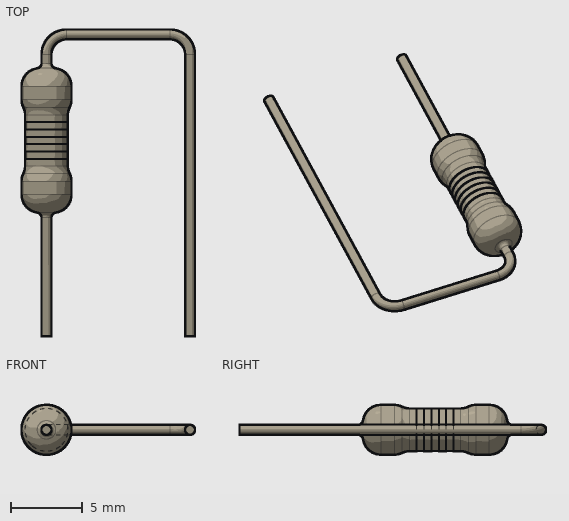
import cadquery as cq
import math

total_length = 21.35
wire_diameter = 0.7
lead_spacing = 10.0
bend_radius = 1.4

body_middle_y = 13.62
cap_diameter = 3.5
core_diameter = 2.99
band_diameter = 2.97
dome_radius = 1.28
neck_start = 1.77
cap_start = 2.85
dome_start = 3.75
fillet_end = 5.35

band_count = 3
band_width = 0.51
band_pitch = 2 * band_width

wire_radius = wire_diameter / 2
cap_radius = cap_diameter / 2
core_radius = core_diameter / 2


def point_on_circle(center, radius, angle):
    return (center[0] + radius * math.cos(angle), center[1] + radius * math.sin(angle))


def make_half_body():
    """Half of the body, revolved from its middle out to the wire."""
    neck_rise = cap_radius - core_radius
    neck_length = cap_start - neck_start
    neck_radius = (neck_length**2 + neck_rise**2) / (4 * neck_rise)
    half_sweep = math.asin(neck_length / (2 * neck_radius)) / 2
    flare_center = (core_radius + neck_radius, neck_start)
    shoulder_center = (cap_radius - neck_radius, cap_start)
    flare_middle = point_on_circle(flare_center, neck_radius, math.pi - half_sweep)
    neck_middle = (core_radius + neck_rise / 2, neck_start + neck_length / 2)
    shoulder_middle = point_on_circle(shoulder_center, neck_radius, -half_sweep)

    dome_center = (cap_radius - dome_radius, dome_start)
    axial_gap = fillet_end - dome_start
    radial_gap = dome_center[0] - wire_radius
    fillet_radius = (axial_gap**2 + radial_gap**2 - dome_radius**2) / (2 * (dome_radius + radial_gap))
    fillet_center = (wire_radius + fillet_radius, fillet_end)
    dome_angle = math.atan2(axial_gap, fillet_center[0] - dome_center[0])
    dome_middle = point_on_circle(dome_center, dome_radius, dome_angle / 2)
    dome_end = point_on_circle(dome_center, dome_radius, dome_angle)
    fillet_middle = point_on_circle(fillet_center, fillet_radius, math.pi + dome_angle / 2)

    return (
        cq.Workplane("XY")
        .lineTo(core_radius, 0)
        .lineTo(core_radius, neck_start)
        .threePointArc(flare_middle, neck_middle)
        .threePointArc(shoulder_middle, (cap_radius, cap_start))
        .lineTo(cap_radius, dome_start)
        .threePointArc(dome_middle, dome_end)
        .threePointArc(fillet_middle, (wire_radius, fillet_end))
        .lineTo(0, fillet_end)
        .close()
        .revolve(360, (0, 0, 0), (0, 1, 0))
    )


def make_band_groove(middle_y):
    return (
        cq.Workplane("XZ", origin=(0, middle_y - band_width / 2, 0))
        .circle(cap_radius)
        .circle(band_diameter / 2)
        .extrude(-band_width)
    )


def make_body():
    half = make_half_body()
    body = half.union(half.mirror("XZ"))
    for index in range(band_count):
        body = body.cut(make_band_groove((index - (band_count - 1) / 2) * band_pitch))
    return body.translate((0, body_middle_y, 0))


def make_wire():
    """Wire through the body, bent back beside it; both ends lie at Y = 0."""
    top_y = total_length - wire_radius
    bend_y = top_y - bend_radius
    corner_offset = bend_radius * (1 - math.sqrt(0.5))
    path = (
        cq.Workplane("XY")
        .lineTo(0, bend_y)
        .threePointArc((corner_offset, top_y - corner_offset), (bend_radius, top_y))
        .lineTo(lead_spacing - bend_radius, top_y)
        .threePointArc(
            (lead_spacing - corner_offset, top_y - corner_offset), (lead_spacing, bend_y)
        )
        .lineTo(lead_spacing, 0)
    )
    return cq.Workplane("XZ").circle(wire_radius).sweep(path)


result = make_body().union(make_wire())